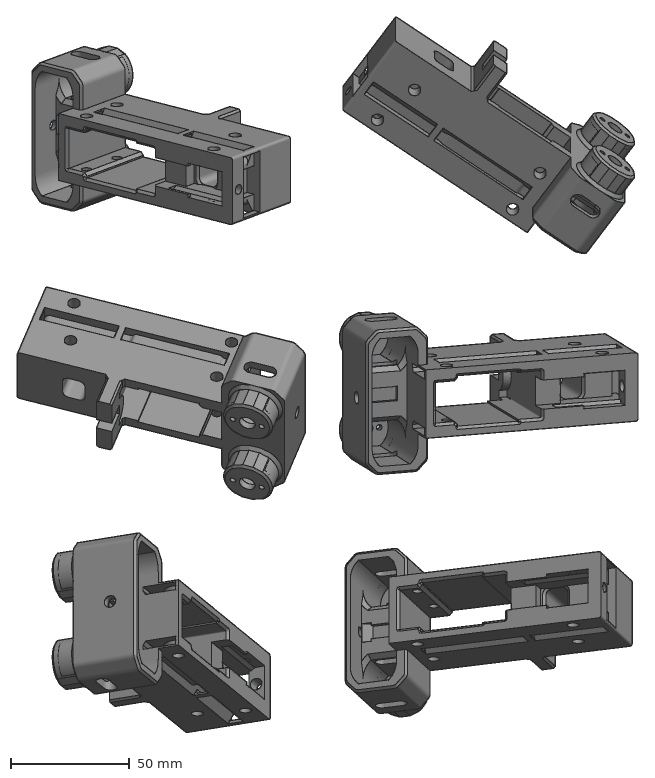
import cadquery as cq
import math

total_length = 118.75
total_depth = 53.5

head_width = 28.0
head_height = 62.7
head_front_y = 9.4
body_back_y = 38.3
head_corner_cut = 4.9
head_corner_radius = 3.0
head_front_chamfer = 1.0

knob_x = 13.0
knob_z = 19.75
knob_radius = 10.85
knob_flat = 10.4
knob_flat_x = 2.3
knob_facet_x = 6.45
knob_back_y = 49.4
knob_rim_chamfer = 1.0
flare_width = 1.2
flare_height = 1.7

cavity_radius = 10.35
cavity_flat = 7.9
cavity_floor_y = 23.0
pocket_flare = 2.1
pocket_floor_y = 46.4
shaft_hole_diameter = 7.0
screw_hole_diameter = 2.4
screw_hole_offset = 6.4

recess_depth = 2.0
recess_left_x = 2.95
recess_step_x = 7.05
recess_right_x = 19.1
recess_ramp_height = 8.3
recess_height = 6.2
head_slot_length = 14.0
head_slot_width = 5.8
head_slot_y = 29.0
head_slot_x = 13.9

arm_left_x = knob_x + cavity_radius
arm_height = 29.7
arm_end_radius = 1.2

window_left_x = 28.05
window_middle_x = 38.0
window_right_stretch_x = 65.1
window_right_x = 75.4
window_left_half = 8.8
window_middle_half = 10.9
window_right_half = 10.15
window_left_slant = 1.4
window_chamfer = 1.15
window_corner_radius = 0.5

channel_half = 6.3
channel_step_x = 86.7
channel_step_y = 7.9
channel_floor_y = 13.2
channel_right_x = 112.9
groove_left_x = 82.5
groove_entry_x = 94.3
groove_lip_y = 1.5
groove_slope_y = 4.6
groove_back_y = 6.3
groove_depth = 1.3
opening_x = 93.65
opening_width = 9.9
opening_height = 12.3
opening_corner_radius = 2.8
opening_chamfer = 1.1

tunnel_floor_z = 10.55
tunnel_raised_z = 12.15
tunnel_roof_z = 14.1
ramp_length = 3.3
raised_start_x = 34.7
raised_end_x = 77.5
slot_front_y = 11.1
slot_back_y = 18.0
slot_back_slope = 0.63
tunnel_back_y = 16.4
entry_front_y = 1.4
entry_depth = 4.1
entry_flat_end_y = 4.3
nose_x = 115.5
slot_spans = ((33.5, 79.5), (groove_left_x, nose_x))
nose_radius = 3.0
passage_left_x = 111.8
end_opening_front_y = 7.3
end_opening_half = 13.5

hole_diameter = 5.2
hole_small_diameter = 4.2
blind_hole_end_z = 8.0
through_hole_places = ((34.5, 5.0), (34.5, 25.0))
blind_hole_places = ((99.4, 25.0), (104.4, 5.0))
head_hole_y = 21.3
end_hole_y = 4.0

tab_left_x = 71.8
tab_width = 6.85
tab_edge_chamfer = 0.9
gusset = 1.8
tab_recess_y = 42.9
bump_radius = 7.4
bump_center_y = 44.8
notch_height = 5.4
notch_y = 45.3
notch_step_y = 43.1


def box(x0, x1, y0, y1, z0, z1):
    return cq.Workplane("XY").box(x1 - x0, y1 - y0, z1 - z0, centered=False).translate((x0, y0, z0))


def at_y(y):
    """Workplane facing +Y at position y; its local axes are -X and +Z."""
    return cq.Workplane("XZ", origin=(0, y, 0)).transformed(rotate=(0, 180, 0))


def cylinder_y(x, z, diameter, y0, y1):
    return at_y(y0).center(-x, z).circle(diameter / 2).extrude(y1 - y0)


def mirrored_in_z(shape):
    return shape.union(shape.mirror("XY"))


def clipped_circle(y, z, radius, flat):
    """Circle about a knob axis with its top and bottom cut off flat."""
    half_chord = math.sqrt(radius**2 - flat**2)
    return (
        at_y(y).center(-knob_x, z)
        .moveTo(-half_chord, flat)
        .lineTo(half_chord, flat)
        .threePointArc((radius, 0), (half_chord, -flat))
        .lineTo(-half_chord, -flat)
        .threePointArc((-radius, 0), (-half_chord, flat))
        .close()
    )


def head_shell():
    shell = box(0, head_width, head_front_y, body_back_y, -head_height / 2, head_height / 2)
    shell = shell.edges("|Y").chamfer(head_corner_cut)
    shell = shell.edges("|Y").fillet(head_corner_radius)
    return shell.faces("<Y").edges().chamfer(head_front_chamfer)


def knob_outline(y, z, growth=0.0):
    """Knob outline: round sides joined to short flats at top and bottom by sloping facets."""
    radius = knob_radius + growth
    flat = knob_flat + growth
    side_z = math.sqrt(radius**2 - knob_facet_x**2)
    return (
        at_y(y).center(-knob_x, z)
        .moveTo(-knob_flat_x, flat)
        .lineTo(knob_flat_x, flat)
        .lineTo(knob_facet_x, side_z)
        .threePointArc((radius, 0), (knob_facet_x, -side_z))
        .lineTo(knob_flat_x, -flat)
        .lineTo(-knob_flat_x, -flat)
        .lineTo(-knob_facet_x, -side_z)
        .threePointArc((-radius, 0), (-knob_facet_x, side_z))
        .close()
    )


def knob(z):
    rim_y = knob_back_y - knob_rim_chamfer
    body = knob_outline(body_back_y, z).extrude(rim_y - body_back_y)
    rim = knob_outline(rim_y, z).extrude(knob_rim_chamfer, taper=45)
    taper = math.degrees(math.atan(flare_width / flare_height))
    flare = knob_outline(body_back_y, z, flare_width).extrude(flare_height, taper=taper)
    return body.union(rim).union(flare)


def cavity_prism(y0, y1):
    """Upright prism with round, flat-topped ends around the two knob axes."""
    prism = box(knob_x - cavity_radius, knob_x + cavity_radius, y0, y1, -knob_z, knob_z)
    for z in (-knob_z, knob_z):
        prism = prism.union(clipped_circle(y0, z, cavity_radius, cavity_flat).extrude(y1 - y0))
    return prism


def motor_pocket(z):
    """Pocket reaching into one knob, flared where it leaves the cavity floor."""
    depth = pocket_floor_y - cavity_floor_y
    pocket = clipped_circle(cavity_floor_y, z, cavity_radius, cavity_flat).extrude(depth)
    flare = clipped_circle(
        cavity_floor_y, z, cavity_radius + pocket_flare, cavity_flat + pocket_flare
    ).extrude(pocket_flare, taper=45)
    pocket = pocket.union(flare.intersect(cavity_prism(cavity_floor_y, pocket_floor_y)))
    holes = ((0, shaft_hole_diameter), (-screw_hole_offset, screw_hole_diameter),
             (screw_hole_offset, screw_hole_diameter))
    for offset, diameter in holes:
        pocket = pocket.union(cylinder_y(knob_x + offset, z, diameter, cavity_floor_y, total_depth))
    return pocket


def wiring_recess():
    """Level recess in the cavity floor with a wider ramp leading down into it."""
    half = recess_height / 2
    back_y = cavity_floor_y + recess_depth
    level = box(recess_step_x, recess_right_x, cavity_floor_y, back_y, -half, half)
    ramp = (
        cq.Workplane("XY", origin=(0, 0, -recess_ramp_height / 2))
        .polyline([(recess_left_x, cavity_floor_y), (recess_step_x, cavity_floor_y), (recess_step_x, back_y)])
        .close()
        .extrude(recess_ramp_height)
    )
    return level.union(ramp)


def head_slot():
    return (
        cq.Workplane("XY", origin=(head_slot_x, head_slot_y, 0))
        .slot2D(head_slot_length, head_slot_width)
        .extrude(head_height, both=True)
    )


def arm_block():
    block = box(arm_left_x, total_length, 0, body_back_y, -arm_height / 2, arm_height / 2)
    return block.edges(">X and |Y").fillet(arm_end_radius)


def tab():
    half = arm_height / 2
    right_x = tab_left_x + tab_width
    post = box(tab_left_x, right_x, body_back_y, total_depth, -half, half)
    post = post.edges("|Y").chamfer(tab_edge_chamfer)
    gussets = (
        cq.Workplane("XY", origin=(0, 0, -half))
        .polyline([
            (tab_left_x + tab_edge_chamfer - gusset, body_back_y),
            (tab_left_x + tab_edge_chamfer, body_back_y + gusset),
            (right_x - tab_edge_chamfer, body_back_y + gusset),
            (right_x - tab_edge_chamfer + gusset, body_back_y),
        ])
        .close()
        .extrude(arm_height)
    )
    return post.union(gussets)


def tab_cuts():
    right_x = tab_left_x + tab_width
    middle_x = tab_left_x + tab_width / 2
    half = notch_height / 2
    notch = box(tab_left_x, right_x, notch_y, total_depth, -half, half)
    step = box(tab_left_x, middle_x, notch_step_y, total_depth, -half, half)
    return notch.union(step)


def window_outline():
    upper = [
        (window_left_x, window_left_half),
        (window_middle_x - window_left_slant, window_left_half),
        (window_middle_x, window_left_half + window_left_slant),
        (window_middle_x, window_middle_half),
        (window_right_stretch_x, window_middle_half),
        (window_right_stretch_x, window_right_half),
        (window_right_x, window_right_half),
    ]
    lower = [(x, -z) for x, z in reversed(upper)]
    return at_y(0).polyline([(-x, z) for x, z in upper + lower]).close()


def window():
    through = window_outline().extrude(body_back_y)
    through = through.edges("|Y and >X").fillet(window_corner_radius)
    mouth = through.faces("<Y").wires().toPending().workplane().offset2D(window_chamfer)
    mouth = mouth.extrude(-window_chamfer, combine=False, taper=45)
    behind = box(
        tab_left_x - gusset, window_right_x, body_back_y, tab_recess_y, -window_right_half, window_right_half
    )
    return through.union(mouth).union(behind)


def tab_bump():
    """Half-round lug on the front of the tab, reaching into the window."""
    bump = (
        cq.Workplane("YZ", origin=(tab_left_x, bump_center_y, 0))
        .circle(bump_radius)
        .extrude(window_right_x - tab_left_x)
    )
    front_y = bump_center_y - bump_radius
    return bump.intersect(
        box(tab_left_x, window_right_x, front_y, tab_recess_y, -bump_radius, bump_radius)
    )


def channel():
    shallow = box(window_right_x, channel_right_x, 0, channel_step_y, -channel_half, channel_half)
    deep = box(channel_step_x, channel_right_x, 0, channel_floor_y, -channel_half, channel_half)
    return shallow.union(deep)


def channel_groove():
    """Groove widening the channel, open to the front only at its right-hand part."""
    outer = channel_half + groove_depth
    right_x = channel_right_x
    straight = box(groove_left_x, right_x, groove_lip_y, groove_slope_y, -outer, outer)
    entry = box(groove_entry_x, right_x, 0, groove_slope_y, -outer, outer)
    slope = (
        cq.Workplane("YZ", origin=(groove_left_x, 0, 0))
        .polyline([
            (groove_slope_y, -outer),
            (groove_slope_y, outer),
            (groove_back_y, channel_half),
            (groove_back_y, -channel_half),
        ])
        .close()
        .extrude(right_x - groove_left_x)
    )
    return straight.union(entry).union(slope)


def floor_opening():
    length = body_back_y - channel_floor_y
    through = (
        at_y(channel_floor_y).center(-opening_x, 0)
        .rect(opening_width, opening_height)
        .extrude(length)
        .edges("|Y").fillet(opening_corner_radius)
    )
    mouth = (
        through.faces("<Y").wires().toPending().workplane()
        .offset2D(opening_chamfer)
        .extrude(-opening_chamfer, combine=False, taper=45)
    )
    keep = box(channel_step_x, channel_right_x, channel_floor_y, body_back_y, -channel_half, channel_half)
    return through.union(mouth.intersect(keep))


def tunnel_plan():
    """Tunnel seen in plan: a wide entry on the left that rounds into a straight run."""
    flat_x = arm_left_x + entry_depth
    bend = slot_front_y - entry_flat_end_y
    return (
        cq.Workplane("XY")
        .moveTo(arm_left_x, entry_front_y)
        .lineTo(flat_x, entry_front_y)
        .lineTo(flat_x, entry_flat_end_y)
        .radiusArc((flat_x + bend, slot_front_y), bend)
        .lineTo(nose_x, slot_front_y)
        .lineTo(nose_x, tunnel_back_y)
        .lineTo(arm_left_x, tunnel_back_y)
        .close()
    )


def tunnel_section():
    """Lengthwise section of the tunnel: floor ramps up over the window and rolls off at the right."""
    rise = tunnel_raised_z - tunnel_floor_z
    half_ramp = ramp_length / 2
    return (
        cq.Workplane("XZ")
        .moveTo(arm_left_x, tunnel_floor_z)
        .lineTo(raised_start_x, tunnel_floor_z)
        .tangentArcPoint((half_ramp, rise / 2))
        .tangentArcPoint((half_ramp, rise / 2))
        .lineTo(raised_end_x - ramp_length, tunnel_raised_z)
        .tangentArcPoint((half_ramp, -rise / 2))
        .tangentArcPoint((half_ramp, -rise / 2))
        .lineTo(nose_x - nose_radius, tunnel_floor_z)
        .radiusArc((nose_x, tunnel_floor_z - nose_radius), nose_radius)
        .lineTo(nose_x, arm_height / 2)
        .lineTo(arm_left_x, arm_height / 2)
        .close()
        .extrude(-slot_back_y)
    )


def sloped_back():
    """Space in front of the leaning back wall shared by the tunnel and its slots."""
    top = arm_height / 2
    return (
        cq.Workplane("YZ", origin=(arm_left_x, 0, 0))
        .polyline([(0, 0), (slot_back_y - slot_back_slope * top, 0), (slot_back_y, top), (0, top)])
        .close()
        .extrude(nose_x - arm_left_x)
    )


def strap_tunnel():
    tunnel = tunnel_plan().extrude(tunnel_roof_z)
    for x0, x1 in slot_spans:
        tunnel = tunnel.union(box(x0, x1, slot_front_y, slot_back_y, tunnel_floor_z, arm_height / 2))
    return mirrored_in_z(tunnel.intersect(tunnel_section()).intersect(sloped_back()))


def end_opening():
    """Opening in the right-hand end where the tunnels turn into the channel."""
    gap = box(
        nose_x, total_length, end_opening_front_y, slot_back_y, -end_opening_half, end_opening_half
    )
    passage = box(passage_left_x, nose_x, end_opening_front_y, slot_back_y, -channel_half, channel_half)
    return gap.union(passage)


def tapered_hole(entry, direction, depth):
    """Insert hole narrowing from its entry point to its inner end."""
    cone = cq.Solid.makeCone(
        hole_diameter / 2, hole_small_diameter / 2, depth, cq.Vector(*entry), cq.Vector(*direction)
    )
    return cq.Workplane("XY").add(cone)


result = head_shell().union(arm_block()).union(tab())
for side_z in (-knob_z, knob_z):
    result = result.union(knob(side_z))

result = result.cut(cavity_prism(head_front_y, cavity_floor_y))
for side_z in (-knob_z, knob_z):
    result = result.cut(motor_pocket(side_z))
result = result.cut(wiring_recess()).cut(head_slot())

result = result.cut(window()).union(tab_bump()).cut(tab_cuts())
result = result.cut(channel()).cut(channel_groove()).cut(floor_opening())
result = result.cut(strap_tunnel()).cut(end_opening())

wall_holes = [(place, window_left_half) for place in through_hole_places]
wall_holes += [(place, blind_hole_end_z) for place in blind_hole_places]
for (hole_x, hole_y), end_z in wall_holes:
    hole = tapered_hole((hole_x, hole_y, arm_height / 2), (0, 0, -1), arm_height / 2 - end_z)
    result = result.cut(mirrored_in_z(hole))

head_wall = knob_x - cavity_radius
end_wall = total_length - channel_right_x
result = result.cut(tapered_hole((0, head_hole_y, 0), (1, 0, 0), head_wall))
result = result.cut(tapered_hole((channel_right_x, end_hole_y, 0), (1, 0, 0), end_wall))